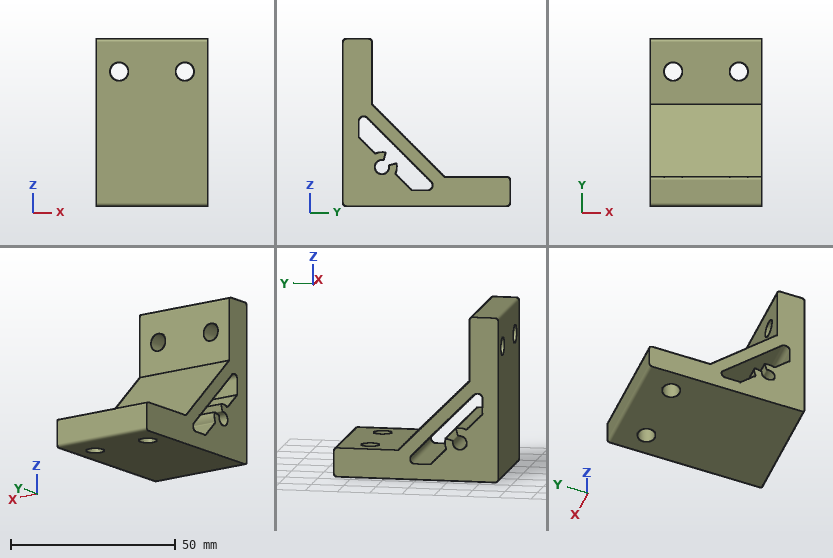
import cadquery as cq
import math

width = 34.0
leg_length = 51.0
plate_thickness = 9.0
rib_end = 31.0
outer_round = 1.0

hole_diameter = 5.5
hole_spacing = 20.0
hole_end_distance = 10.0

pocket_wall = 4.9
pocket_outer_sum = 34.3
pocket_inner_sum = 25.9
pocket_end_round = 1.5

channel_center = 11.95
channel_radius = 2.15
boss_radius = 4.6
mouth_angle = 60.0
mouth_reach = 6.45
boss_root_round = 0.45
throat_round = 0.4


def prism(outline):
    return cq.Workplane("YZ").polyline(outline).close().extrude(width)


def rod(radius):
    return cq.Workplane("YZ").center(channel_center, channel_center).circle(radius).extrude(width)


def polar_point(radius, angle):
    """Point in the YZ profile around the channel center, angle in degrees from +Y."""
    turn = math.radians(angle)
    return (channel_center + radius * math.cos(turn), channel_center + radius * math.sin(turn))


def round_mirrored_edges(body, point, radius):
    """Round the lengthwise edges at a profile point and at its mirror image about Y = Z."""
    y, z = point
    for edge_y, edge_z in ((y, z), (z, y)):
        selector = cq.selectors.NearestToPointSelector((width / 2, edge_y, edge_z))
        body = body.edges("|X").edges(selector).fillet(radius)
    return body


def make_body():
    body = prism([
        (0, 0),
        (leg_length, 0),
        (leg_length, plate_thickness),
        (rib_end, plate_thickness),
        (plate_thickness, rib_end),
        (plate_thickness, leg_length),
        (0, leg_length),
    ])
    body = body.faces(">Y or >Z").edges("|X").fillet(outer_round)
    outside_corner = cq.selectors.NearestToPointSelector((width / 2, 0, 0))
    return body.edges("|X").edges(outside_corner).fillet(outer_round)


def make_pocket():
    outer_end = pocket_outer_sum - pocket_wall
    inner_end = pocket_inner_sum - pocket_wall
    pocket = prism([
        (pocket_wall, inner_end),
        (pocket_wall, outer_end),
        (outer_end, pocket_wall),
        (inner_end, pocket_wall),
    ])
    return round_mirrored_edges(pocket, (pocket_wall, outer_end), pocket_end_round)


def make_mouth():
    return prism([
        (channel_center, channel_center),
        polar_point(mouth_reach, 45 - mouth_angle / 2),
        polar_point(mouth_reach, 45 + mouth_angle / 2),
    ])


def add_split_boss(body):
    body = body.union(rod(boss_radius))
    body = body.cut(make_mouth()).cut(rod(channel_radius))

    face_offset = (pocket_inner_sum - 2 * channel_center) / math.sqrt(2)
    root_angle = 45 + math.degrees(math.acos(face_offset / boss_radius))
    body = round_mirrored_edges(body, polar_point(boss_radius, root_angle), boss_root_round)

    throat = polar_point(channel_radius, 45 + mouth_angle / 2)
    return round_mirrored_edges(body, throat, throat_round)


def make_mounting_holes():
    hole_position = leg_length - hole_end_distance
    holes = cq.Workplane("XY")
    for side in (-1, 1):
        x = width / 2 + side * hole_spacing / 2
        radius = hole_diameter / 2
        through_base = cq.Solid.makeCylinder(
            radius, plate_thickness, cq.Vector(x, hole_position, 0), cq.Vector(0, 0, 1))
        through_wall = cq.Solid.makeCylinder(
            radius, plate_thickness, cq.Vector(x, 0, hole_position), cq.Vector(0, 1, 0))
        holes = holes.add(through_base).add(through_wall)
    return holes.combine()


result = add_split_boss(make_body().cut(make_pocket())).cut(make_mounting_holes())